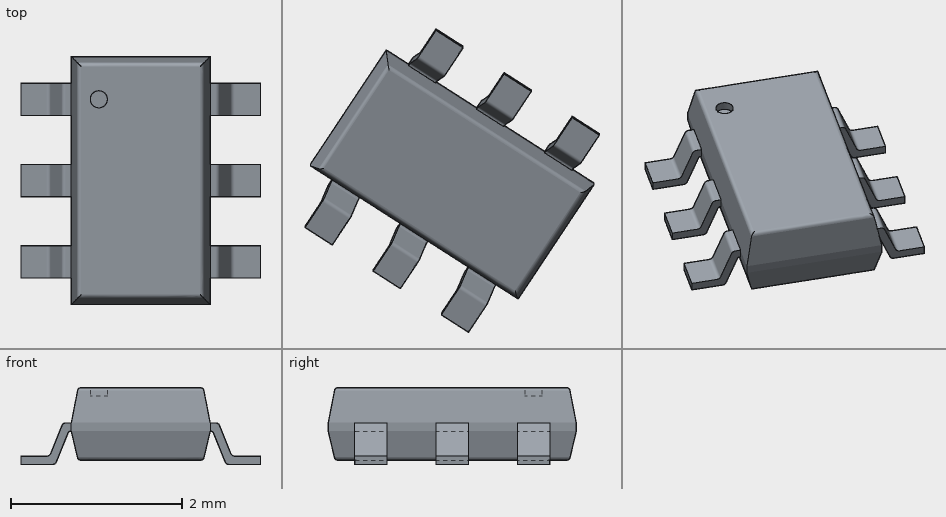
import cadquery as cq
import math

span_x = 2.8
body_x = 1.625
body_y = 2.9
package_top = 0.9
standoff = 0.05

lead_thickness = 0.1
lead_width = 0.38
lead_pitch = 0.95
leads_per_side = 3
lead_top = 0.488
foot_length = 0.402
leg_angle = 68.0
bend_radius = 0.05
knee_underside_radius = 0.03

band_top = lead_top
band_bottom = lead_top - lead_thickness
taper_inset = 0.08
edge_radius = 0.045

mark_diameter = 0.2
mark_depth = 0.1
mark_x = -0.49
mark_y = lead_pitch


def tapered_block(z_band, z_end):
    """Half of the body, from the full band outline to the inset end face."""
    return (
        cq.Workplane("XY", origin=(0, 0, z_band))
        .rect(body_x, body_y)
        .workplane(offset=z_end - z_band)
        .rect(body_x - 2 * taper_inset, body_y - 2 * taper_inset)
        .loft(ruled=True)
    )


def make_body():
    band = (
        cq.Workplane("XY", origin=(0, 0, band_bottom))
        .rect(body_x, body_y)
        .extrude(band_top - band_bottom)
    )
    body = band.union(tapered_block(band_top, package_top))
    body = body.union(tapered_block(band_bottom, standoff))
    body = body.faces(">Z or <Z").edges().fillet(edge_radius)
    mark = (
        cq.Workplane("XY", origin=(mark_x, mark_y, package_top - mark_depth))
        .circle(mark_diameter / 2)
        .extrude(mark_depth)
    )
    return body.cut(mark)


def make_lead(y_center):
    """Gull-wing lead on the -X side, butting against the body's band."""
    tip_x = -span_x / 2
    root_x = -body_x / 2
    leg_angle_rad = math.radians(leg_angle)
    leg_run = band_bottom / math.tan(leg_angle_rad)
    mitre = lead_thickness * math.tan(leg_angle_rad / 2)
    heel_x = tip_x + foot_length
    knee_x = heel_x + leg_run
    lead = (
        cq.Workplane("XZ", origin=(0, y_center + lead_width / 2, 0))
        .moveTo(tip_x, 0)
        .lineTo(heel_x, 0)
        .lineTo(knee_x, band_bottom)
        .lineTo(root_x, band_bottom)
        .lineTo(root_x, lead_top)
        .lineTo(knee_x - mitre, lead_top)
        .lineTo(heel_x - mitre, lead_thickness)
        .lineTo(tip_x, lead_thickness)
        .close()
        .extrude(lead_width)
    )
    bends = (
        (heel_x, 0, bend_radius),
        (heel_x - mitre, lead_thickness, bend_radius),
        (knee_x - mitre, lead_top, bend_radius),
        (knee_x, band_bottom, knee_underside_radius),
    )
    for x, z, radius in bends:
        corner = cq.selectors.NearestToPointSelector((x, y_center, z))
        lead = lead.edges("|Y").edges(corner).fillet(radius)
    return lead


body = make_body()

leads = []
for index in range(leads_per_side):
    y_center = (index - (leads_per_side - 1) / 2) * lead_pitch
    left_lead = make_lead(y_center)
    leads.append(left_lead.val())
    leads.append(left_lead.mirror("YZ").val())

result = cq.Compound.makeCompound([body.val(), *leads])